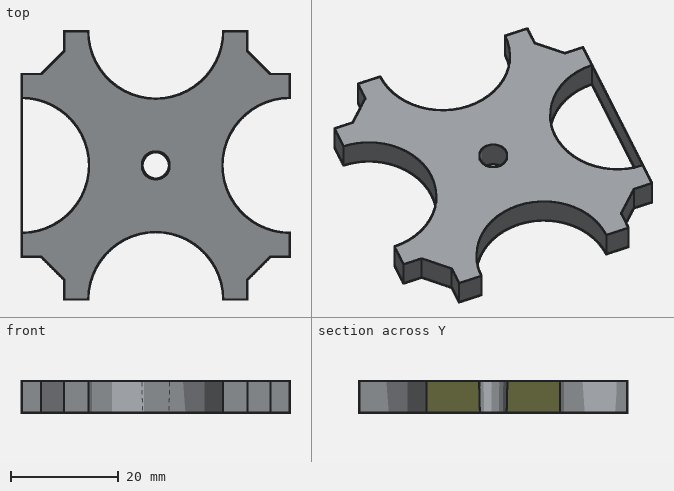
import cadquery as cq

side = 49.8
thickness = 6.0
scallop_radius = 12.5
bore_top_diameter = 5.2
bore_bottom_diameter = 4.9
notch_edge = 17.0
notch_depth = 3.65
web_thickness = 0.05

half = side / 2
notch_floor = half - notch_depth


def corner_notch(x_sign, y_sign):
    """Square corner cutout whose inner corner is bevelled."""
    corners = [
        (half, half),
        (half, notch_edge),
        (notch_floor, notch_edge),
        (notch_edge, notch_floor),
        (notch_edge, half),
    ]
    points = [(x_sign * x, y_sign * y) for x, y in corners]
    return cq.Workplane("XY").polyline(points).close().extrude(thickness)


def side_scallops():
    """Cylinders centred on the middle of the four sides."""
    centres = [(half, 0), (0, half), (-half, 0), (0, -half)]
    return cq.Workplane("XY").pushPoints(centres).circle(scallop_radius).extrude(thickness)


def scallop_web():
    """Thin full-height wall across the mouth of the -X scallop."""
    return (
        cq.Workplane("XY")
        .box(web_thickness, 2 * notch_edge, thickness, centered=(False, True, False))
        .translate((-half, 0, 0))
    )


def tapered_bore():
    """Central through hole, slightly wider at the top."""
    return (
        cq.Workplane("XY")
        .circle(bore_bottom_diameter / 2)
        .workplane(offset=thickness)
        .circle(bore_top_diameter / 2)
        .loft(ruled=True)
    )


plate = cq.Workplane("XY").box(side, side, thickness, centered=(True, True, False))
for x_sign in (-1, 1):
    for y_sign in (-1, 1):
        plate = plate.cut(corner_notch(x_sign, y_sign))

plate = plate.cut(side_scallops())
plate = plate.union(scallop_web())
result = plate.cut(tapered_bore())